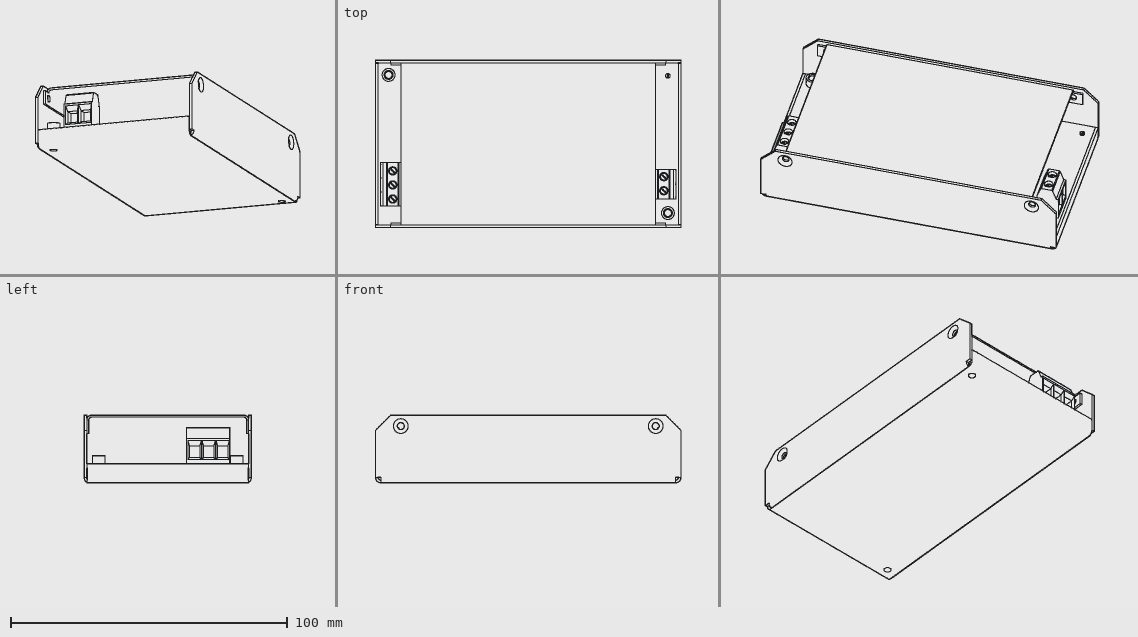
import cadquery as cq
import math

length = 110.5
width = 60.5
height = 24.5
half_length = length / 2
half_width = width / 2

sheet = 1.0
bend_inner = 1.0
bend_outer = bend_inner + sheet
end_wall_height = 7.0
wall_corner_cut = 5.5
seam_gap = 0.1
inner_half_length = half_length - sheet
inner_half_width = half_width - sheet

cover_sheet = 0.8
cover_bend_inner = 1.0
cover_bend_outer = cover_bend_inner + cover_sheet
cover_length = 92.2
cover_flange_length = 99.2
cover_flange_depth = 6.7

fixing_x = half_length - 9.2
fixing_z = height - 4.0
fixing_hole = 2.4
countersink_outer = 5.3
countersink_inner = 2.5

board_top = 6.9
board_thick = 1.5
board_middle = board_top - board_thick / 2
spacer_diameter = 4.6
spacer_bore = 2.5
spacer_mouth = 3.2
spacer_top = 9.8
spacer_x = half_length - 4.8
spacer_y = half_width - 5.3
trimmer_diameter = 1.7
trimmer_top = board_top + 0.5
trimmer_y = spacer_y - 0.3
trimmer_slot_width = 0.3
trimmer_slot_depth = 0.3

pole_pitch = 5.1
pole_shift = -0.2
terminal_margin = 0.2
terminal_front_x = half_length - 1.9
terminal_y = -14.6
terminal_top = 20.1
ledge_height = 16.1
ledge_depth = 0.8
slope_run = 1.3
top_chamfer = 0.3
top_flat = 3.9
screw_hole = 3.0
screw_recess = 1.5
screw_head = 2.4
screw_head_height = 0.3
screw_slot_width = 0.3
mouth_width = 4.9
mouth_bottom = 8.4
mouth_top = 15.4
mouth_depth = 0.9
throat_width = 3.8
throat_bottom = 9.2
throat_top = 13.4
throat_depth = 3.3


def box(x_range, y_range, z_range):
    """Axis-aligned block given by its (low, high) limits."""
    sizes = [high - low for low, high in (x_range, y_range, z_range)]
    corner = (x_range[0], y_range[0], z_range[0])
    return cq.Workplane("XY").box(*sizes, centered=False).translate(corner)


def cylinder(x, y, z_range, diameter):
    """Upright cylinder between two heights."""
    low, high = z_range
    return cq.Workplane("XY", origin=(x, y, low)).circle(diameter / 2).extrude(high - low)


def cone(start, direction, start_diameter, end_diameter, depth):
    """Tapered cutter that starts at a point and runs along a direction."""
    solid = cq.Solid.makeCone(
        start_diameter / 2, end_diameter / 2, depth, cq.Vector(*start), cq.Vector(*direction)
    )
    return cq.Workplane(solid)


def folded_channel(plane, half_span, rise, run):
    """U of bent chassis sheet standing on z = 0, centred along its run."""
    diagonal = math.sqrt(0.5)
    outer_offset = bend_outer - bend_outer * diagonal
    inner_offset = bend_outer - bend_inner * diagonal
    half = (
        cq.Workplane(plane)
        .moveTo(0, 0)
        .lineTo(half_span - bend_outer, 0)
        .threePointArc((half_span - outer_offset, outer_offset), (half_span, bend_outer))
        .lineTo(half_span, rise)
        .lineTo(half_span - sheet, rise)
        .lineTo(half_span - sheet, bend_outer)
        .threePointArc((half_span - inner_offset, inner_offset), (half_span - bend_outer, sheet))
        .lineTo(0, sheet)
        .close()
        .extrude(run / 2, both=True)
    )
    return half.union(half.rotate((0, 0, 0), (0, 0, 1), 180))


def make_tray():
    """Folded sheet tray; the bends stop short of the corners, leaving them open below."""
    tray = folded_channel("YZ", half_width, height, length - 2 * bend_outer)
    for y_range in ((-half_width, -inner_half_width), (inner_half_width, half_width)):
        tray = tray.union(box((-half_length, half_length), y_range, (bend_outer, height)))
    envelope = box((-half_length, half_length), (-half_width, half_width), (0, height))
    tray = tray.intersect(envelope.edges("|Y and >Z").chamfer(wall_corner_cut))
    end_wall_width = 2 * (inner_half_width - seam_gap)
    return tray.union(folded_channel("XZ", half_length, end_wall_height, end_wall_width))


def countersinks():
    """Conical holes through the side walls, one near each upper corner."""
    cutters = []
    for side in (-1, 1):
        for end in (-1, 1):
            start = (end * fixing_x, side * half_width, fixing_z)
            cutters.append(cone(start, (0, -side, 0), countersink_outer, countersink_inner, sheet))
    return cutters


def add_spacer(body, x, y):
    """Bored post from the tray floor up through the board."""
    mouth_chamfer = (spacer_mouth - spacer_bore) / 2
    body = body.union(cylinder(x, y, (0, spacer_top), spacer_diameter))
    body = body.cut(cylinder(x, y, (0, spacer_top), spacer_bore))
    return body.cut(cone((x, y, spacer_top), (0, 0, -1), spacer_mouth, spacer_bore, mouth_chamfer))


def make_trimmer():
    """Small slotted adjuster standing on the board."""
    slot = box(
        (spacer_x - trimmer_slot_width / 2, spacer_x + trimmer_slot_width / 2),
        (trimmer_y - trimmer_diameter, trimmer_y + trimmer_diameter),
        (trimmer_top - trimmer_slot_depth, trimmer_top),
    )
    return cylinder(spacer_x, trimmer_y, (board_middle, trimmer_top), trimmer_diameter).cut(slot)


def terminal_screw(x, y):
    """Slotted screw head at the bottom of its recess; the slot runs diagonally."""
    recess_floor = terminal_top - screw_recess
    head = cylinder(x, y, (recess_floor, recess_floor + screw_head_height), screw_head)
    slot = (
        cq.Workplane("XY")
        .box(screw_head, screw_slot_width, screw_head_height, centered=(True, True, False))
        .rotate((0, 0, 0), (0, 0, 1), -45)
        .translate((x, y, recess_floor))
    )
    return head.cut(slot)


def wire_entry(y):
    """Funnel-shaped mouth leading into a straight throat."""
    mouth_height = mouth_top - mouth_bottom
    mouth_z = (mouth_top + mouth_bottom) / 2
    throat_height = throat_top - throat_bottom
    throat_z = (throat_top + throat_bottom) / 2
    funnel = (
        cq.Workplane("YZ")
        .center(y, mouth_z)
        .rect(mouth_width, mouth_height)
        .workplane(offset=mouth_depth)
        .center(0, throat_z - mouth_z)
        .rect(throat_width, throat_height)
        .loft(ruled=True)
    )
    throat = (
        cq.Workplane("YZ")
        .center(y, throat_z)
        .rect(throat_width, throat_height)
        .extrude(mouth_depth + throat_depth)
    )
    return funnel.union(throat)


def make_terminal(poles):
    """Terminal block with its front on x = 0, facing -X, centred on y = 0."""
    slope_top = terminal_top - top_chamfer
    chamfer_front = ledge_depth + slope_run
    flat_front = chamfer_front + top_chamfer
    flat_back = flat_front + top_flat
    chamfer_back = flat_back + top_chamfer
    back = chamfer_back + slope_run
    profile = [
        (0, board_middle),
        (0, ledge_height),
        (ledge_depth, ledge_height),
        (chamfer_front, slope_top),
        (flat_front, terminal_top),
        (flat_back, terminal_top),
        (chamfer_back, slope_top),
        (back, ledge_height),
        (back, board_middle),
    ]
    span = poles * pole_pitch + 2 * terminal_margin
    block = cq.Workplane("XZ").polyline(profile).close().extrude(span / 2, both=True)

    screw_x = (flat_front + flat_back) / 2
    for pole in range(poles):
        y = (pole - (poles - 1) / 2) * pole_pitch + pole_shift
        block = block.cut(cylinder(screw_x, y, (terminal_top - screw_recess, terminal_top), screw_hole))
        block = block.union(terminal_screw(screw_x, y))
        block = block.cut(wire_entry(y))
    return block


def make_chassis():
    """Tray with the board, spacers, trimmer and both terminals fixed in it."""
    body = make_tray()
    body = body.union(
        box(
            (-inner_half_length, inner_half_length),
            (-inner_half_width, inner_half_width),
            (board_top - board_thick, board_top),
        )
    )
    body = add_spacer(body, -spacer_x, spacer_y)
    body = add_spacer(body, spacer_x, -spacer_y)
    body = body.union(make_trimmer())

    input_terminal = make_terminal(3).translate((-terminal_front_x, terminal_y, 0))
    output_terminal = (
        make_terminal(2)
        .rotate((0, 0, 0), (0, 0, 1), 180)
        .translate((terminal_front_x, terminal_y, 0))
    )
    body = body.union(input_terminal).union(output_terminal)
    for cutter in countersinks():
        body = body.cut(cutter)
    return body


def make_cover():
    """Bent cover whose side flanges reach past the top sheet at both ends."""
    outside = (
        cq.Workplane("XY")
        .box(cover_flange_length, 2 * inner_half_width, cover_flange_depth)
        .edges("|X and >Z")
        .fillet(cover_bend_outer)
    )
    inside = (
        cq.Workplane("XY")
        .box(cover_flange_length, 2 * (inner_half_width - cover_sheet), cover_flange_depth)
        .edges("|X and >Z")
        .fillet(cover_bend_inner)
        .translate((0, 0, -cover_sheet))
    )
    body = outside.cut(inside).translate((0, 0, height - cover_flange_depth / 2))

    for end in (-1, 1):
        x_range = sorted((end * cover_length / 2, end * cover_flange_length / 2))
        body = body.cut(box(x_range, (-half_width, half_width), (height - cover_bend_outer, height)))
        fixing = (
            cq.Workplane("XZ", origin=(end * fixing_x, 0, fixing_z))
            .circle(fixing_hole / 2)
            .extrude(half_width, both=True)
        )
        body = body.cut(fixing)
    return body


chassis = make_chassis().solids()
cover = make_cover().solids()

result = cq.Compound.makeCompound([chassis.val(), cover.val()])